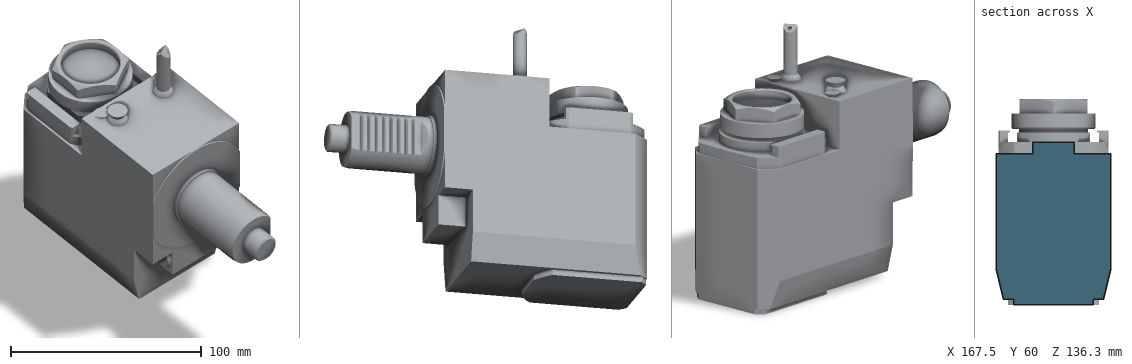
import cadquery as cq
import math


HALF_WIDTH = 30.0
BODY_END_X = 96.5
HEAD_END_X = 111.5
BODY_BOTTOM_Z = 3.0
HEAD_BOTTOM_Z = 41.4
SHOULDER_Z = 79.5
HEAD_TOP_Z = 106.2
CORNER_CHAMFER = 8.4
TAPER_TOP_Z = 18.3
TAPER_DEPTH = 3.7

SPINDLE_X = 27.5
HEAD_START_X = 2 * SPINDLE_X
FOOT_HALF_WIDTH = 24.0
FOOT_CORNER_RADIUS = 34.0
FOOT_END_X = 59.0

FLANGE_TOP_Z = 85.5
FLANGE_CORNER_RADIUS = 33.3
FLANGE_HALF_WIDTH = 28.8
FLANGE_HALF_LENGTH = 27.3
FLANGE_SIDE_FLAT = 1.8
FLANGE_SIDE_Y = 21.0
FLANGE_SIDE_X = 26.3
BAR_HALF_LENGTH = 18.1
BAR_INNER_Y = 22.8
BAR_TOP_Z = 91.5
LIP_HEIGHT = 1.0
LIP_OVERHANG = 1.2
BOSS_RADIUS = 22.6
BOSS_HALF_WIDTH = 19.1
BOSS_TOP_Z = 90.5

NECK_RADIUS = 18.1
COLLAR_RADIUS = 22.1
COLLAR_BOTTOM_Z = 92.3
COLLAR_TOP_Z = 100.5
COLLAR_CHAMFER = 0.7
HEX_SIDES = 6
HEX_ACROSS_FLATS = 35.5
NUT_TOP_Z = 108.0
HEX_CHAMFER_ANGLE = 30
RECESS_RADIUS = 15.5
RECESS_DEPTH = 5.0
RECESS_CHAMFER = 0.5

SHANK_Z = 73.5
FACE_DISC_RADIUS = 32.5
FACE_DISC_END_X = 112.2
SHANK_COLLAR_RADIUS = 15.9
SHANK_COLLAR_END_X = 114.0
SHANK_RADIUS = 15.0
SHANK_TAPER_X = 154.6
SHANK_END_RADIUS = 14.5
SHANK_END_X = 157.5
TIP_RADIUS = 7.4
TIP_END_X = 167.5
TIP_CHAMFER = 0.8

RACK_Y = 11.9
RACK_RAMP_START_X = 116.5
RACK_FIRST_GROOVE_X = 124.0
RACK_PITCH = 4.0
RACK_GROOVES = 8
RACK_GROOVE_DEPTH = 1.7
RACK_GROOVE_HALF_WIDTH = 1.0

NOZZLE_X = 67.3
NOZZLE_Y = 15.9
DOME_BASE_RADIUS = 5.7
DOME_HEIGHT = 3.0
NOZZLE_NECK_RADIUS = 3.7
FLARE_RADIUS = 5.2
FLARE_HEIGHT = 3.0
PLUG_X = 59.8
PLUG_Y = 20.5
PLUG_BASE_RADIUS = 2.5
PLUG_TOP_RADIUS = 3.9
PLUG_HEIGHT = 1.8
PIPE_TOP_Z = 136.3
PIPE_RADIUS = 3.7
PIPE_TURN = 30
OUTLET_RADIUS = 1.2
OUTLET_DEPTH = 1.7

BLOCK_START_X = 97.0
BLOCK_BOTTOM_Z = 25.3
BLOCK_HALF_WIDTH = 16.2
BUTTON_X = 104.2
BUTTON_Z = 33.8
BUTTON_BASE_RADIUS = 6.7
BUTTON_TOP_RADIUS = 5.7
BUTTON_HEIGHT = 1.7


def box(x_start, x_end, half_width, z_start, z_end):
    """Box symmetric about the middle plane."""
    size = (x_end - x_start, 2 * half_width, z_end - z_start)
    return cq.Workplane().box(*size, centered=(False, True, False)).translate((x_start, 0, z_start))


def cylinder(x, radius, z_start, z_end):
    """Upright cylinder on the middle plane."""
    return cq.Workplane().workplane(offset=z_start).center(x, 0).circle(radius).extrude(z_end - z_start)


def make_block():
    lower = box(0, BODY_END_X, HALF_WIDTH, BODY_BOTTOM_Z, SHOULDER_Z)
    lower = lower.edges("|Z and <X").chamfer(CORNER_CHAMFER)
    bottom_half_width = HALF_WIDTH - TAPER_DEPTH
    section = (
        cq.Workplane("YZ")
        .moveTo(-bottom_half_width, BODY_BOTTOM_Z)
        .lineTo(bottom_half_width, BODY_BOTTOM_Z)
        .lineTo(HALF_WIDTH, TAPER_TOP_Z)
        .lineTo(HALF_WIDTH, SHOULDER_Z)
        .lineTo(-HALF_WIDTH, SHOULDER_Z)
        .lineTo(-HALF_WIDTH, TAPER_TOP_Z)
        .close()
        .extrude(BODY_END_X)
    )
    lower = lower.intersect(section)
    upper = box(HEAD_START_X, HEAD_END_X, HALF_WIDTH, HEAD_BOTTOM_Z, HEAD_TOP_Z)
    return lower.union(upper)


def make_foot():
    disc = cylinder(SPINDLE_X, FOOT_CORNER_RADIUS, 0, BODY_BOTTOM_Z)
    return disc.intersect(box(0, FOOT_END_X, FOOT_HALF_WIDTH, 0, BODY_BOTTOM_Z))


def make_flange():
    """Flange with two lipped bars and a flattened boss between them."""
    right_side = [
        (FLANGE_SIDE_X, -FLANGE_HALF_WIDTH),
        (FLANGE_SIDE_X, -FLANGE_SIDE_Y),
        (FLANGE_HALF_LENGTH, -FLANGE_SIDE_FLAT),
        (FLANGE_HALF_LENGTH, FLANGE_SIDE_FLAT),
        (FLANGE_SIDE_X, FLANGE_SIDE_Y),
        (FLANGE_SIDE_X, FLANGE_HALF_WIDTH),
    ]
    left_side = [(-x, -y) for x, y in right_side]
    plate = (
        cq.Workplane()
        .workplane(offset=SHOULDER_Z)
        .center(SPINDLE_X, 0)
        .polyline(right_side + left_side)
        .close()
        .extrude(FLANGE_TOP_Z - SHOULDER_Z)
    )
    bar_start = SPINDLE_X - BAR_HALF_LENGTH
    bar_end = SPINDLE_X + BAR_HALF_LENGTH
    lip_bottom = BAR_TOP_Z - LIP_HEIGHT
    bars = (
        box(bar_start, bar_end, FLANGE_HALF_WIDTH, FLANGE_TOP_Z, BAR_TOP_Z)
        .cut(box(bar_start, bar_end, BAR_INNER_Y, FLANGE_TOP_Z, BAR_TOP_Z))
        .cut(box(bar_start, bar_end, BAR_INNER_Y + LIP_OVERHANG, FLANGE_TOP_Z, lip_bottom))
    )
    rounding = cylinder(SPINDLE_X, FLANGE_CORNER_RADIUS, SHOULDER_Z, BAR_TOP_Z)
    boss = cylinder(SPINDLE_X, BOSS_RADIUS, SHOULDER_Z, BOSS_TOP_Z)
    boss = boss.intersect(box(0, HEAD_START_X, BOSS_HALF_WIDTH, SHOULDER_Z, BOSS_TOP_Z))
    return plate.union(bars).intersect(rounding).union(boss)


def make_face_disc():
    """Thin raised disc on the shank side, trimmed flush with the housing sides."""
    disc = (
        cq.Workplane("YZ", origin=(HEAD_END_X, 0, SHANK_Z))
        .circle(FACE_DISC_RADIUS)
        .extrude(FACE_DISC_END_X - HEAD_END_X)
    )
    return disc.intersect(box(HEAD_END_X, FACE_DISC_END_X, HALF_WIDTH, HEAD_BOTTOM_Z, HEAD_TOP_Z))


def make_shank():
    turned = (
        cq.Workplane("XY", origin=(0, 0, SHANK_Z))
        .moveTo(HEAD_END_X, 0)
        .lineTo(HEAD_END_X, SHANK_COLLAR_RADIUS)
        .lineTo(SHANK_COLLAR_END_X, SHANK_COLLAR_RADIUS)
        .lineTo(SHANK_COLLAR_END_X, SHANK_RADIUS)
        .lineTo(SHANK_TAPER_X, SHANK_RADIUS)
        .lineTo(SHANK_END_X, SHANK_END_RADIUS)
        .lineTo(SHANK_END_X, TIP_RADIUS)
        .lineTo(TIP_END_X - TIP_CHAMFER, TIP_RADIUS)
        .lineTo(TIP_END_X, TIP_RADIUS - TIP_CHAMFER)
        .lineTo(TIP_END_X, 0)
        .close()
        .revolve(360, (0, 0, 0), (1, 0, 0))
    )
    return turned.cut(make_rack_cut())


def make_rack_cut():
    """Material removed for the clamping flat, its 45 degree run-out and its V grooves."""
    ramp = SHANK_RADIUS - RACK_Y
    outline = (
        cq.Workplane("XY", origin=(0, 0, SHANK_Z))
        .moveTo(SHANK_END_X, SHANK_RADIUS)
        .lineTo(RACK_RAMP_START_X, SHANK_RADIUS)
        .lineTo(RACK_RAMP_START_X + ramp, RACK_Y)
    )
    for index in range(RACK_GROOVES):
        groove_x = RACK_FIRST_GROOVE_X + index * RACK_PITCH
        outline = (
            outline.lineTo(groove_x - RACK_GROOVE_HALF_WIDTH, RACK_Y)
            .lineTo(groove_x, RACK_Y - RACK_GROOVE_DEPTH)
            .lineTo(groove_x + RACK_GROOVE_HALF_WIDTH, RACK_Y)
        )
    return outline.lineTo(SHANK_END_X, RACK_Y).close().extrude(SHANK_RADIUS, both=True)


def make_dome():
    """Spherical zone standing on Z = 0."""
    center_drop = (DOME_BASE_RADIUS**2 - NOZZLE_NECK_RADIUS**2 - DOME_HEIGHT**2) / (2 * DOME_HEIGHT)
    ball_radius = math.hypot(DOME_BASE_RADIUS, center_drop)
    middle_height = DOME_HEIGHT / 2
    middle_radius = math.sqrt(ball_radius**2 - (middle_height + center_drop) ** 2)
    return (
        cq.Workplane("XZ")
        .lineTo(DOME_BASE_RADIUS, 0)
        .threePointArc((middle_radius, middle_height), (NOZZLE_NECK_RADIUS, DOME_HEIGHT))
        .lineTo(0, DOME_HEIGHT)
        .close()
        .revolve(360, (0, 0, 0), (0, 1, 0))
    )


def make_cone(base_radius, top_radius, height):
    return cq.Workplane(cq.Solid.makeCone(base_radius, top_radius, height))


def make_flared_nozzle():
    flare = make_cone(NOZZLE_NECK_RADIUS, FLARE_RADIUS, FLARE_HEIGHT)
    return make_dome().union(flare.translate((0, 0, DOME_HEIGHT)))


def make_pipe():
    """Pipe with a 45 degree ridge across its end and an outlet in the -X slope."""
    top = PIPE_TOP_Z - HEAD_TOP_Z
    eave = top - PIPE_RADIUS
    roof = (
        cq.Workplane("XZ")
        .polyline([(-PIPE_RADIUS, 0), (PIPE_RADIUS, 0), (PIPE_RADIUS, eave), (0, top), (-PIPE_RADIUS, eave)])
        .close()
        .extrude(PIPE_RADIUS, both=True)
    )
    pipe = cq.Workplane().circle(PIPE_RADIUS).extrude(top).intersect(roof)
    slope_middle = cq.Vector(-PIPE_RADIUS / 2, 0, top - PIPE_RADIUS / 2)
    outlet = cq.Solid.makeCylinder(OUTLET_RADIUS, OUTLET_DEPTH, slope_middle, cq.Vector(1, 0, -1))
    return pipe.cut(cq.Workplane(outlet)).rotate((0, 0, 0), (0, 0, 1), PIPE_TURN)


def make_nozzle_block():
    """Block with a low tapered nozzle button on its -Y side."""
    block = box(BLOCK_START_X, HEAD_END_X, BLOCK_HALF_WIDTH, BLOCK_BOTTOM_Z, HEAD_BOTTOM_Z)
    button = make_cone(BUTTON_BASE_RADIUS, BUTTON_TOP_RADIUS, BUTTON_HEIGHT)
    button = button.rotate((0, 0, 0), (1, 0, 0), 90)
    return block.union(button.translate((BUTTON_X, -BLOCK_HALF_WIDTH, BUTTON_Z)))


def make_housing():
    housing = make_block().union(make_foot()).union(make_flange())
    housing = housing.union(make_face_disc()).union(make_shank()).union(make_nozzle_block())
    for side in (-1, 1):
        plug = make_cone(PLUG_BASE_RADIUS, PLUG_TOP_RADIUS, PLUG_HEIGHT)
        housing = housing.union(plug.translate((PLUG_X, side * PLUG_Y, HEAD_TOP_Z)))
    housing = housing.union(make_flared_nozzle().translate((NOZZLE_X, -NOZZLE_Y, HEAD_TOP_Z)))
    piped_nozzle = make_dome().union(make_pipe())
    return housing.union(piped_nozzle.translate((NOZZLE_X, NOZZLE_Y, HEAD_TOP_Z)))


def make_nut():
    """Hexagon nut with a round collar, standing on the spindle boss."""
    neck = cylinder(SPINDLE_X, NECK_RADIUS, BOSS_TOP_Z, COLLAR_BOTTOM_Z)
    collar = cylinder(SPINDLE_X, COLLAR_RADIUS, COLLAR_BOTTOM_Z, COLLAR_TOP_Z)
    collar = collar.faces("<Z").edges().chamfer(COLLAR_CHAMFER)
    flat_radius = HEX_ACROSS_FLATS / 2
    corner_radius = flat_radius / math.cos(math.pi / HEX_SIDES)
    hex_height = NUT_TOP_Z - COLLAR_TOP_Z
    hexagon = (
        cq.Workplane()
        .workplane(offset=COLLAR_TOP_Z)
        .center(SPINDLE_X, 0)
        .polygon(HEX_SIDES, 2 * corner_radius)
        .extrude(hex_height)
    )
    slope = math.tan(math.radians(HEX_CHAMFER_ANGLE))
    cone_base_radius = flat_radius + hex_height / slope
    corner_cone = make_cone(cone_base_radius, flat_radius, hex_height)
    hexagon = hexagon.intersect(corner_cone.translate((SPINDLE_X, 0, COLLAR_TOP_Z)))
    recess = cylinder(SPINDLE_X, RECESS_RADIUS, NUT_TOP_Z - RECESS_DEPTH, NUT_TOP_Z)
    recess_chamfer = make_cone(RECESS_RADIUS, RECESS_RADIUS + RECESS_CHAMFER, RECESS_CHAMFER)
    recess = recess.union(recess_chamfer.translate((SPINDLE_X, 0, NUT_TOP_Z - RECESS_CHAMFER)))
    return neck.union(collar).union(hexagon).cut(recess)


housing = make_housing()
nut = make_nut()
result = cq.Compound.makeCompound([housing.solids().val(), nut.solids().val()])